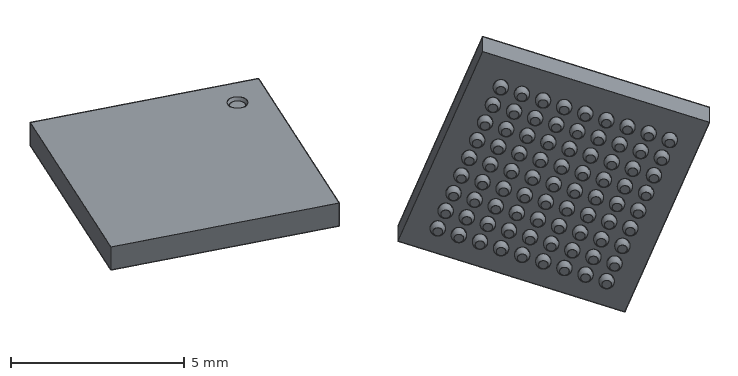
import cadquery as cq
import math

body_side = 7.0
total_height = 1.1
body_height = 0.8
ball_drop = total_height - body_height

balls_per_side = 9
ball_pitch = 0.65
ball_radius = 0.225
ball_center_depth = 0.125

mark_inset = 1.0
mark_rim_diameter = 0.6
mark_floor_diameter = 0.47
mark_depth = 0.1


def make_body():
    """Square slab with its underside at Z = 0."""
    return cq.Workplane("XY").box(body_side, body_side, body_height, centered=(True, True, False))


def make_pin_mark():
    """Tapered cutter for the pin 1 dimple."""
    mark_offset = body_side / 2 - mark_inset
    taper = math.degrees(math.atan((mark_rim_diameter - mark_floor_diameter) / 2 / mark_depth))
    return (
        cq.Workplane("XY")
        .workplane(offset=body_height)
        .center(-mark_offset, mark_offset)
        .circle(mark_rim_diameter / 2)
        .extrude(-mark_depth, taper=taper)
    )


def make_ball():
    """One ball below Z = 0, revolved from half of its truncated profile."""
    top_radius = math.sqrt(ball_radius**2 - ball_center_depth**2)
    foot_radius = math.sqrt(ball_radius**2 - (ball_drop - ball_center_depth) ** 2)
    return (
        cq.Workplane("XZ")
        .lineTo(-top_radius, 0)
        .threePointArc((-ball_radius, -ball_center_depth), (-foot_radius, -ball_drop))
        .lineTo(0, -ball_drop)
        .close()
        .revolve(360, (0, 0, 0), (0, 1, 0))
        .val()
    )


def make_balls():
    """Full square grid of balls centred under the body."""
    ball = make_ball()
    return (
        cq.Workplane("XY")
        .rarray(ball_pitch, ball_pitch, balls_per_side, balls_per_side)
        .eachpoint(lambda place: ball.moved(place))
    )


result = make_body().cut(make_pin_mark()).union(make_balls())